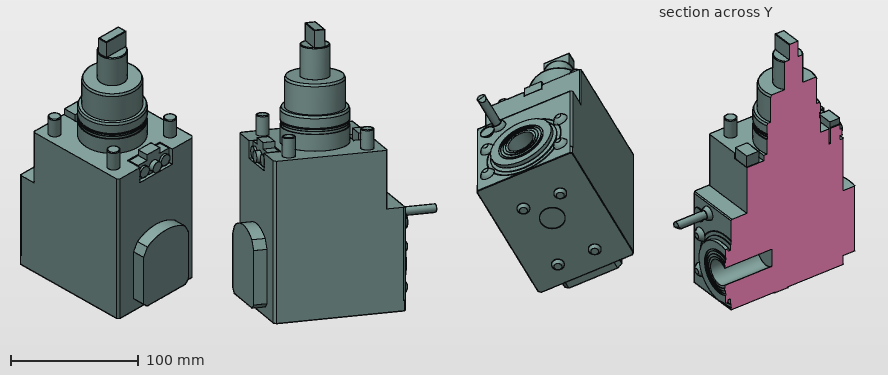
import cadquery as cq
import math


block_width = 84.0
block_top = 133.1
block_left = -45.7
block_right = 48.5
step_left = -61.1
step_top = 85.1
corner_chamfer = 2.0
step_bevel_x = 2.3
step_bevel_y = 1.4
edge_chamfer = 1.0
cover_height = 9.0
cover_chamfer = 1.4
floor_chamfer = 0.5

spindle_dia = 23.8
spindle_top = 213.0
collar_dia = 48.0
collar_top = 187.0
flange_dia = 55.0
flange_top = 161.8
turned_chamfer = 2.0
groove_dia = 53.3
land_dia = 54.2
upper_groove_top = 151.5
upper_groove_bottom = 150.7
lower_groove_top = 149.0
lower_groove_bottom = 146.8
spindle_chamfer = 0.7
tang_top = 227.5
tang_thickness = 8.8
tang_length = 22.2
tang_chamfer = 0.5

pin_dia = 10.4
pin_top = 149.5
pin_spacing_x = 65.0
pin_spacing_y = 62.8
pin_chamfer = 0.7

key_width = 15.0
key_top = 138.5
left_key_left = -45.5
left_key_right = -33.7
left_slot_width = 16.0
left_slot_right = -29.3
left_slot_floor = 128.0

notch_left = 34.5
notch_width = 36.0
notch_floor = 118.8
right_key_left = 35.8
right_key_right = 45.5
right_key_width = 14.0
wing_width = 34.2
key_screw_z = 125.3
main_key_screw_dia = 9.5
main_key_screw_end = 49.8
side_key_screw_dia = 10.0
side_key_screw_offset = 11.5
side_key_screw_end = 47.5

tool_axis_z = 33.7
holder_steps = [(58.0, 0.7), (49.0, 2.8)]
nut_dia = 53.3
nut_back = 2.3
nut_face = 5.5
rim_outer_dia = 31.0
rim_height = 0.7
face_groove_outer_dia = 38.8
face_groove_inner_dia = 35.5
face_groove_depth = 0.5
seal_groove_outer_dia = 65.0
seal_groove_inner_dia = 64.1
seal_groove_depth = 0.2
bore_mouth_dia = 26.3
bore_dia = 22.2
bore_mouth_depth = 0.5
bore_depth = 46.2

dome_bulge = 0.6
face_screw_dia = 12.0
face_screw_tip_dia = 4.5
face_screw_height = 4.0
face_screw_spacing_y = 64.0
face_screw_spacing_z = 33.2

cable_dia = 7.0
cable_end = -92.3
cable_y = 22.0
cable_z = 75.5
gland_dia = 12.0
gland_tip_dia = 8.0
gland_height = 4.0
cut_start = -0.7
cut_length = 2.8
cut_roll = -26
plug_dia = 12.0
plug_root_dia = 7.0
plug_height = 3.2
plug_lip = 0.7
plug_y = 30.7
plug_z = 70.5

boss_end = 59.5
boss_width = 50.0
boss_bottom = 8.3
boss_radius = 37.0
boss_shoulder_y = 20.8
boss_side_top = 56.5
boss_bottom_chamfer = 3.7

foot_dia = 10.2
foot_tip_dia = 6.2
foot_height = 3.2
foot_straight = 0.5
foot_spacing_x = 60.0
foot_spacing_y = 32.3
disc_dia = 20.0
disc_x = -11.8
disc_height = 0.7


def box(x_min, x_max, width, z_min, z_max):
    """Box that is centred on Y = 0."""
    return (
        cq.Workplane("XY", origin=((x_min + x_max) / 2, 0, z_min))
        .box(x_max - x_min, width, z_max - z_min, centered=(True, True, False))
    )


def x_cylinder(dia, x_min, x_max, y, z):
    return cq.Workplane("YZ", origin=(x_min, y, z)).circle(dia / 2).extrude(x_max - x_min)


def x_ring(outer_dia, inner_dia, x_min, x_max, z):
    outer = x_cylinder(outer_dia, x_min, x_max, 0, z)
    return outer.cut(x_cylinder(inner_dia, x_min, x_max, 0, z))


def dome(dia, tip_dia, height, y, z):
    """Round-shouldered head with a flat tip, standing on the -X face of the step."""
    root = dia / 2
    tip = tip_dia / 2
    middle = (tip + (root - tip) * dome_bulge, height * dome_bulge)
    return (
        cq.Workplane("XY")
        .moveTo(0, 0)
        .lineTo(root, 0)
        .threePointArc(middle, (tip, height))
        .lineTo(0, height)
        .close()
        .revolve(360, (0, 0, 0), (0, 1, 0))
        .rotate((0, 0, 0), (0, 0, 1), 90)
        .translate((step_left, y, z))
    )


def corner_bevels():
    """Material outside the two bevelled vertical corners of the step."""
    half_width = block_width / 2
    bevel = (
        cq.Workplane("XY")
        .polyline([
            (step_left, half_width),
            (step_left + step_bevel_x, half_width),
            (step_left, half_width - step_bevel_y),
        ])
        .close()
        .extrude(step_top)
    )
    return bevel.union(bevel.mirror("XZ"))


def make_housing():
    tall = box(block_left, block_right, block_width, cover_height, block_top)
    tall = tall.edges("|Z and >X").chamfer(corner_chamfer)
    tall = tall.edges("|Z and <X").chamfer(edge_chamfer)
    step = box(step_left, 0, block_width, cover_height, step_top)
    step = step.cut(corner_bevels())
    step = step.edges(">Z and <X").chamfer(edge_chamfer)
    cover = box(step_left, block_right, block_width, 0, cover_height)
    cover = cover.edges("|Z and >X").chamfer(corner_chamfer)
    cover = cover.edges("|Z and <X").chamfer(cover_chamfer)
    cover = cover.faces("<Z").chamfer(floor_chamfer)
    return tall.union(step).union(cover)


def make_spindle():
    spindle_r = spindle_dia / 2
    collar_r = collar_dia / 2
    flange_r = flange_dia / 2
    groove_r = groove_dia / 2
    land_r = land_dia / 2
    turned = (
        cq.Workplane("XZ")
        .polyline([
            (0, block_top),
            (flange_r, block_top),
            (flange_r, lower_groove_bottom),
            (groove_r, lower_groove_bottom),
            (groove_r, lower_groove_top),
            (land_r, lower_groove_top),
            (land_r, upper_groove_bottom),
            (groove_r, upper_groove_bottom),
            (groove_r, upper_groove_top),
            (flange_r, upper_groove_top),
            (flange_r, flange_top - turned_chamfer),
            (flange_r - edge_chamfer, flange_top),
            (collar_r, flange_top),
            (collar_r, collar_top - turned_chamfer),
            (collar_r - edge_chamfer, collar_top),
            (spindle_r, collar_top),
            (spindle_r, spindle_top - spindle_chamfer),
            (spindle_r - spindle_chamfer, spindle_top),
            (0, spindle_top),
        ])
        .close()
        .revolve(360, (0, 0, 0), (0, 1, 0))
    )
    tang = box(-tang_thickness / 2, tang_thickness / 2, tang_length, spindle_top, tang_top)
    return turned.union(tang.faces(">Z").chamfer(tang_chamfer))


def make_pins():
    return (
        cq.Workplane("XY", origin=(0, 0, block_top))
        .rarray(pin_spacing_x, pin_spacing_y, 2, 2)
        .circle(pin_dia / 2)
        .extrude(pin_top - block_top)
        .faces(">Z")
        .chamfer(pin_chamfer)
    )


def add_left_key(body):
    slot = box(block_left, left_slot_right, left_slot_width, left_slot_floor, block_top)
    key = box(left_key_left, left_key_right, key_width, left_slot_floor, key_top)
    return body.cut(slot).union(key)


def add_right_key(body):
    notch = box(notch_left, block_right, notch_width, notch_floor, block_top)
    wings = box(right_key_left, right_key_right, wing_width, notch_floor, block_top)
    key = box(right_key_left, right_key_right, right_key_width, notch_floor, key_top)
    body = body.cut(notch).union(wings).union(key)
    body = body.union(x_cylinder(main_key_screw_dia, right_key_right, main_key_screw_end, 0, key_screw_z))
    for y in (-side_key_screw_offset, side_key_screw_offset):
        body = body.union(x_cylinder(side_key_screw_dia, right_key_right, side_key_screw_end, y, key_screw_z))
    return body


def add_tool_holder(body):
    seal_groove = x_ring(
        seal_groove_outer_dia, seal_groove_inner_dia, step_left, step_left + seal_groove_depth, tool_axis_z
    )
    body = body.cut(seal_groove)
    for dia, height in holder_steps:
        body = body.union(x_cylinder(dia, step_left - height, step_left, 0, tool_axis_z))

    face_x = step_left - nut_face
    rim_x = face_x - rim_height
    body = body.union(x_cylinder(nut_dia, face_x, step_left - nut_back, 0, tool_axis_z))
    body = body.union(x_cylinder(rim_outer_dia, rim_x, face_x, 0, tool_axis_z))
    face_groove = x_ring(
        face_groove_outer_dia, face_groove_inner_dia, face_x, face_x + face_groove_depth, tool_axis_z
    )
    mouth = x_cylinder(bore_mouth_dia, rim_x, rim_x + bore_mouth_depth, 0, tool_axis_z)
    bore = x_cylinder(bore_dia, rim_x, rim_x + bore_depth, 0, tool_axis_z)
    return body.cut(face_groove).cut(mouth).cut(bore)


def add_face_screws(body):
    for y in (-face_screw_spacing_y / 2, face_screw_spacing_y / 2):
        for offset in (-face_screw_spacing_z / 2, face_screw_spacing_z / 2):
            z = tool_axis_z + offset
            body = body.union(dome(face_screw_dia, face_screw_tip_dia, face_screw_height, y, z))
    return body


def make_cable():
    radius = cable_dia / 2
    cut_slope = cut_length / (radius + cut_start)
    wedge_bottom = -cable_dia
    oblique_cut = (
        cq.Workplane("XZ")
        .polyline([
            (0, cut_start),
            (0, wedge_bottom),
            ((cut_start - wedge_bottom) * cut_slope, wedge_bottom),
        ])
        .close()
        .extrude(cable_dia, both=True)
        .rotate((0, 0, 0), (1, 0, 0), cut_roll)
        .translate((cable_end, cable_y, cable_z))
    )
    cable = x_cylinder(cable_dia, cable_end, step_left, cable_y, cable_z).cut(oblique_cut)
    return cable.union(dome(gland_dia, gland_tip_dia, gland_height, cable_y, cable_z))


def make_plug():
    """Plug head that widens away from the housing to a thin lip."""
    return (
        cq.Workplane("XY")
        .polyline([
            (0, 0),
            (0, plug_root_dia / 2),
            (plug_lip - plug_height, plug_dia / 2),
            (-plug_height, plug_dia / 2),
            (-plug_height, 0),
        ])
        .close()
        .revolve(360, (0, 0, 0), (1, 0, 0))
        .translate((step_left, plug_y, plug_z))
    )


def make_boss():
    side = boss_width / 2
    apex_z = tool_axis_z + boss_radius
    shoulder_z = tool_axis_z + math.sqrt(boss_radius**2 - boss_shoulder_y**2)
    return (
        cq.Workplane("YZ", origin=(block_right, 0, 0))
        .moveTo(-boss_shoulder_y, shoulder_z)
        .threePointArc((0, apex_z), (boss_shoulder_y, shoulder_z))
        .lineTo(side, boss_side_top)
        .lineTo(side, boss_bottom + boss_bottom_chamfer)
        .lineTo(side - boss_bottom_chamfer, boss_bottom)
        .lineTo(boss_bottom_chamfer - side, boss_bottom)
        .lineTo(-side, boss_bottom + boss_bottom_chamfer)
        .lineTo(-side, boss_side_top)
        .close()
        .extrude(boss_end - block_right)
    )


def make_underside():
    feet = (
        cq.Workplane("XY")
        .rarray(foot_spacing_x, foot_spacing_y, 2, 2)
        .circle(foot_dia / 2)
        .extrude(-foot_height)
        .faces("<Z")
        .chamfer(foot_height - foot_straight, (foot_dia - foot_tip_dia) / 2)
    )
    disc = cq.Workplane("XY", origin=(disc_x, 0, 0)).circle(disc_dia / 2).extrude(-disc_height)
    return feet.union(disc)


result = make_housing()
result = result.union(make_spindle())
result = result.union(make_pins())
result = add_left_key(result)
result = add_right_key(result)
result = add_tool_holder(result)
result = add_face_screws(result)
result = result.union(make_cable())
result = result.union(make_plug())
result = result.union(make_boss())
result = result.union(make_underside())